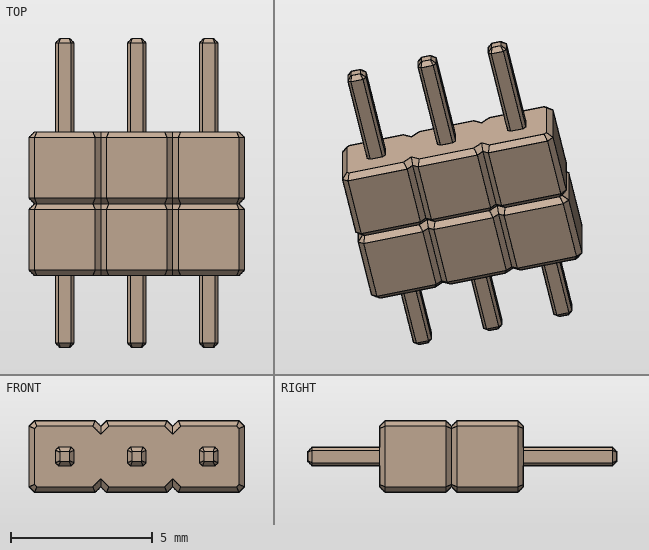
import cadquery as cq


pitch = 2.54
pin_count = 3
strip_length = pitch * pin_count
strip_depth = pitch
strip_height = pitch
cell_chamfer = 0.2

pin_width = 0.66
pin_edge_chamfer = 0.11
pin_tip_chamfer = 0.16
front_pin_length = 2.54
rear_pin_length = 3.30

pin_positions = [(i - (pin_count - 1) / 2) * pitch for i in range(pin_count)]


def cell_row_profile():
    """XZ outline of the cells; the chamfers of adjoining cells form V notches."""
    half_pitch = pitch / 2
    half_height = strip_height / 2
    top_edge = [(-strip_length / 2, half_height - cell_chamfer)]
    for x in pin_positions:
        top_edge.append((x - half_pitch + cell_chamfer, half_height))
        top_edge.append((x + half_pitch - cell_chamfer, half_height))
        top_edge.append((x + half_pitch, half_height - cell_chamfer))
    bottom_edge = [(x, -z) for x, z in reversed(top_edge)]
    return top_edge + bottom_edge


def cell_row():
    """Row of cells from Y = 0 to Y = -strip_depth, chamfered around both end faces."""
    row = cq.Workplane("XZ").polyline(cell_row_profile()).close().extrude(strip_depth)
    return row.faces("<Y or >Y").chamfer(cell_chamfer)


def pin(x, length):
    """Square pin with bevelled edges, from the mating face out past the strip."""
    full_length = strip_depth + length
    bar = cq.Workplane("XZ").center(x, 0).rect(pin_width, pin_width).extrude(full_length)
    bar = bar.edges("|Y").chamfer(pin_edge_chamfer)
    return bar.faces("<Y").chamfer(pin_tip_chamfer)


def header_strip(pin_length):
    """One strip with its pins pointing toward -Y and its mating face on Y = 0."""
    strip = cell_row()
    for x in pin_positions:
        strip = strip.union(pin(x, pin_length))
    return strip.solids()


front_strip = header_strip(front_pin_length)
rear_strip = header_strip(rear_pin_length).mirror("XZ")

result = cq.Compound.makeCompound([front_strip.val(), rear_strip.val()])